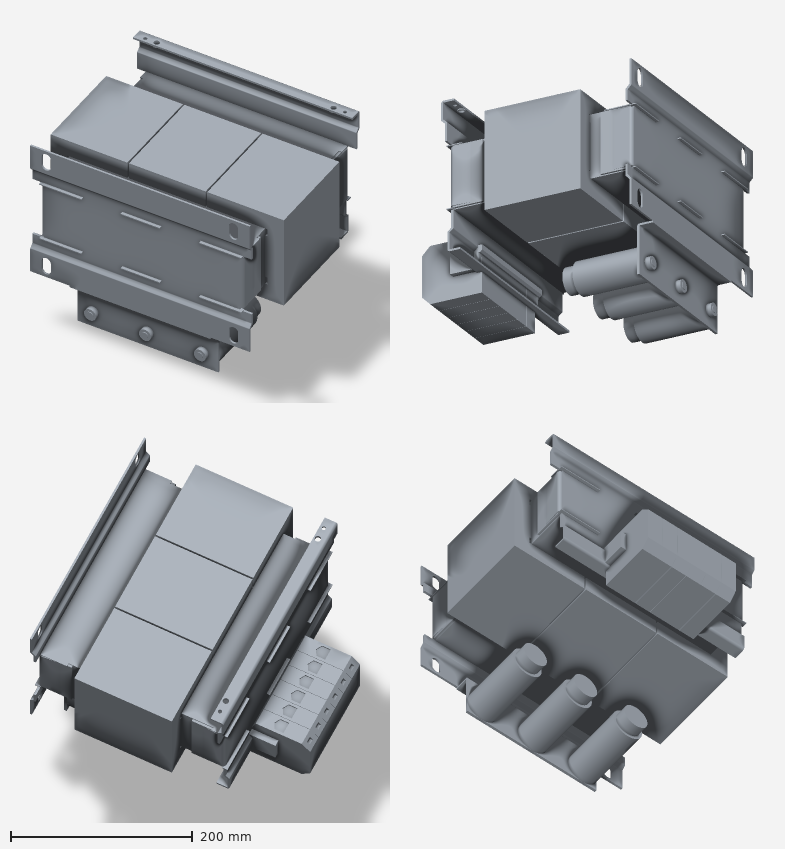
import cadquery as cq


coil_count = 3
coil_width = 98.0
coil_gap = 1.98
coil_pitch = coil_width + coil_gap
coil_side = 120.0
leg_width = 50.0
segment_count = 5
notch_width = 3.0
notch_height = 9.8
core_half_x = segment_count * leg_width / 2
core_half_y = 111.7
core_half_z = 37.5

sheet_thickness = 1.2
sheet_top = core_half_z + sheet_thickness
tab_half_y = 118.5
ear_overhang = 4.0
front_ear_start_y = 79.0
rear_ear_start_y = 99.5

end_plate_thickness = 2.7
end_plate_start_y = 74.0

clamp_face_y = 114.5
clamp_half_x = core_half_x + ear_overhang
clamp_half_z = 35.5
clamp_wing_start_y = 88.8
bracket_half_x = 140.0
bracket_inner_z = 38.5
bracket_top = 88.2
bracket_face_y = 119.0
metal = 2.5
front_step_inner_z = 51.3
front_step_outer_z = 56.2
rear_step_inner_z = 60.0
rear_step_outer_z = 64.5
rear_flange_end_y = 103.2
lower_rear_half_x = 125.7
bend_radius = 3.0
step_radius = 1.2

slot_x = 119.5
slot_z = 73.0
slot_length = 22.5
slot_angle = 90
slot_width = 11.5
flange_hole_y = 108.3
small_hole_x = 127.5
small_hole_diameter = 4.5
nut_x = 113.0
nut_bore = 7.0
nut_diameter = 9.8
nut_height = 1.2

cap_pitch = 70.2
cap_z = -128.8
cap_radius = 20.0
cap_end_y = -18.0
cap_terminal_radius = 16.2
cap_terminal_end_y = -3.5
holder_half_x = 90.0
holder_overlap = 0.3
holder_top = holder_overlap - bracket_top
holder_bottom = cap_z - cap_radius
holder_face_y = -102.0
holder_back_y = -99.0
nut_radius = 7.5
nut_face_y = -108.3
stud_radius = 4.3
stud_face_y = -109.3

terminal_count = 6
terminal_pitch = 20.5
terminal_gap = 0.3
terminal_rear_y = 186.2
terminal_front_y = 111.0
terminal_top = -42.7
terminal_bottom = -113.2
terminal_chamfer = 10.5
terminal_slope_y = 119.0
terminal_slope_z = -64.0
rail_half_x = 68.7
rail_rear_y = 147.0
rail_front_y = 106.5
rail_top = -59.0
rail_bottom = -86.5
hook_bottom = -67.5
hook_chamfer = 2.5
window_rear_y = 151.7
window_shoulder_y = 141.0
window_tip_y = 137.0
window_half_x = 7.0
marker_y = 180.7
marker_length = 6.7
marker_width = 3.5
recess_depth = 1.5


def block(x0, x1, y0, y1, z0, z1):
    """Box between two opposite corners."""
    return cq.Workplane("XY").box(x1 - x0, y1 - y0, z1 - z0, centered=False).translate((x0, y0, z0))


def along_x(points, half_x):
    """Prism with a (Y, Z) outline, centred on X = 0."""
    return cq.Workplane("YZ").polyline(points).close().extrude(half_x, both=True)


def rod_y(x, z, radius, y0, y1):
    """Cylinder parallel to Y."""
    return cq.Workplane("XZ", origin=(x, y0, z)).circle(radius).extrude(y0 - y1)


def row(count, pitch):
    """Positions of equally spaced items centred on zero."""
    return [(i - (count - 1) / 2) * pitch for i in range(count)]


def both_ends(shape):
    """A shape together with its mirror image across X = 0."""
    return [shape, shape.mirror("YZ")]


def make_coils():
    """Separate coil blocks; the outer two are notched beside the corners of the core."""
    h = coil_side / 2
    notch_end_x = core_half_x + notch_width
    notch = block(core_half_x, notch_end_x, h - notch_width, h, sheet_top - notch_height, sheet_top)
    notches = notch.union(notch.mirror("XY"))
    notches = notches.union(notches.mirror("XZ"))
    notches = notches.union(notches.mirror("YZ"))
    return [block(x - coil_width / 2, x + coil_width / 2, -h, h, -h, h).cut(notches)
            for x in row(coil_count, coil_pitch)]


def make_core():
    """Core segments with their cover sheets; the sheets over the legs reach out as tabs."""
    parts = []
    for i, x in enumerate(row(segment_count, leg_width)):
        x0 = x - leg_width / 2
        x1 = x + leg_width / 2
        is_leg = i % 2 == 0
        half_y = tab_half_y if is_leg else core_half_y
        parts.append(block(x0, x1, -core_half_y, core_half_y, -core_half_z, core_half_z))
        for z0 in (core_half_z, -sheet_top):
            parts.append(block(x0, x1, -half_y, half_y, z0, z0 + sheet_thickness))
    low_ear = block(core_half_x, clamp_half_x, core_half_y, tab_half_y, -sheet_top, -core_half_z)
    ears = [
        block(core_half_x, clamp_half_x, -tab_half_y, -front_ear_start_y, core_half_z, sheet_top),
        block(core_half_x, clamp_half_x, rear_ear_start_y, tab_half_y, core_half_z, sheet_top),
        low_ear,
        low_ear.mirror("XZ"),
    ]
    for ear in ears:
        parts += both_ends(ear)
    for y0, y1 in ((-core_half_y, -end_plate_start_y), (end_plate_start_y, core_half_y)):
        plate = block(core_half_x, core_half_x + end_plate_thickness, y0, y1, -core_half_z, core_half_z)
        parts += both_ends(plate)
    return parts


def make_clamp():
    """Middle of the rear clamp: a plate with rounded corners and wings tapering onto the end plates."""
    wing_end_x = core_half_x + end_plate_thickness
    r = ear_overhang
    wrap = (
        cq.Workplane("XY", origin=(0, 0, -clamp_half_z))
        .moveTo(-wing_end_x, clamp_wing_start_y)
        .lineTo(wing_end_x, clamp_wing_start_y)
        .lineTo(clamp_half_x, clamp_face_y - r)
        .radiusArc((clamp_half_x - r, clamp_face_y), -r)
        .lineTo(r - clamp_half_x, clamp_face_y)
        .radiusArc((-clamp_half_x, clamp_face_y - r), -r)
        .close()
        .extrude(2 * clamp_half_z)
    )
    face = block(-core_half_x, core_half_x, core_half_y, clamp_face_y, -bracket_inner_z, bracket_inner_z)
    return wrap.union(face)


def round_step(bracket, z0, z1):
    """Round the four bends of the step between two heights."""
    zone = cq.selectors.BoxSelector(
        (-bracket_half_x, -tab_half_y - metal, z0 - metal),
        (bracket_half_x, tab_half_y + metal, z1 + metal),
    )
    return bracket.edges("|X").edges(zone).fillet(step_radius)


def make_front_bracket():
    """Upper front bracket: a stepped strip with a slot near each end."""
    back_y = bracket_face_y - metal
    outline = [
        (-core_half_y, bracket_inner_z),
        (-clamp_face_y, bracket_inner_z),
        (-clamp_face_y, front_step_inner_z),
        (-bracket_face_y, front_step_outer_z),
        (-bracket_face_y, bracket_top),
        (-back_y, bracket_top),
        (-back_y, front_step_outer_z + metal / 2),
        (-core_half_y, front_step_inner_z + metal / 2),
    ]
    slots = (
        cq.Workplane("XZ", origin=(0, -core_half_y, 0))
        .pushPoints([(-slot_x, slot_z), (slot_x, slot_z)])
        .slot2D(slot_length, slot_width, slot_angle)
        .extrude(bracket_face_y)
    )
    strip = round_step(along_x(outline, bracket_half_x), front_step_inner_z, front_step_outer_z)
    return strip.cut(slots)


def make_rear_bracket(half_x):
    """Upper rear bracket: a stepped strip whose top is folded over towards the coils."""
    inner_y = bracket_face_y - metal
    outline = [
        (core_half_y, bracket_inner_z),
        (clamp_face_y, bracket_inner_z),
        (clamp_face_y, rear_step_inner_z),
        (bracket_face_y, rear_step_outer_z),
        (bracket_face_y, bracket_top),
        (rear_flange_end_y, bracket_top),
        (rear_flange_end_y, bracket_top - metal),
        (inner_y, bracket_top - metal),
        (inner_y, rear_step_outer_z + metal / 2),
        (core_half_y, rear_step_inner_z + metal / 2),
    ]
    bracket = round_step(along_x(outline, half_x), rear_step_inner_z, rear_step_outer_z)
    return bracket.edges("|X").edges(">Z").edges(">Y").fillet(bend_radius)


def add_flange_nuts(bracket):
    """Small holes and nuts with a bore in the folded top of a rear bracket."""
    nut_points = [(-nut_x, flange_hole_y), (nut_x, flange_hole_y)]
    hole_points = [(-small_hole_x, flange_hole_y), (small_hole_x, flange_hole_y)]
    nut_bottom = bracket_top - metal - nut_height
    top = cq.Workplane("XY", origin=(0, 0, bracket_top))
    below = cq.Workplane("XY", origin=(0, 0, nut_bottom))
    drill_depth = bracket_top - nut_bottom
    nuts = below.pushPoints(nut_points).circle(nut_diameter / 2).extrude(nut_height)
    bores = top.pushPoints(nut_points).circle(nut_bore / 2).extrude(-drill_depth)
    holes = top.pushPoints(hole_points).circle(small_hole_diameter / 2).extrude(-drill_depth)
    return bracket.union(nuts).cut(bores).cut(holes)


def make_capacitors():
    """Angled holder below the front bracket, with a row of capacitors bolted to it."""
    outline = [
        (-bracket_face_y, holder_top),
        (holder_back_y, holder_top),
        (holder_back_y, holder_bottom),
        (holder_face_y, holder_bottom),
        (holder_face_y, holder_top - metal),
        (-bracket_face_y, holder_top - metal),
    ]
    holder = along_x(outline, holder_half_x)
    inner_bend = cq.selectors.NearestToPointSelector((0, holder_face_y, holder_top - metal))
    holder = holder.edges("|X").edges(">Z").edges(">Y").fillet(bend_radius)
    parts = [holder.edges("|X").edges(inner_bend).fillet(step_radius)]
    for x in row(coil_count, cap_pitch):
        parts.append(rod_y(x, cap_z, cap_radius, holder_back_y, cap_end_y))
        parts.append(rod_y(x, cap_z, cap_terminal_radius, cap_end_y, cap_terminal_end_y))
        parts.append(rod_y(x, cap_z, nut_radius, holder_face_y, nut_face_y))
        parts.append(rod_y(x, cap_z, stud_radius, nut_face_y, stud_face_y))
    return parts


def make_terminal():
    """One terminal with a pointed window on its top and a marker recess on its rear chamfer."""
    c = terminal_chamfer
    outline = [
        (terminal_front_y, terminal_bottom),
        (terminal_rear_y - c, terminal_bottom),
        (terminal_rear_y, terminal_bottom + c),
        (terminal_rear_y, terminal_top - c),
        (terminal_rear_y - c, terminal_top),
        (terminal_slope_y, terminal_top),
        (terminal_front_y, terminal_slope_z),
    ]
    window = (
        cq.Workplane("XY", origin=(0, 0, terminal_top))
        .polyline([
            (-window_half_x, window_rear_y),
            (window_half_x, window_rear_y),
            (window_half_x, window_shoulder_y),
            (0, window_tip_y),
            (-window_half_x, window_shoulder_y),
        ])
        .close()
        .extrude(-recess_depth)
    )
    marker_z = terminal_top - (marker_y - (terminal_rear_y - c))
    marker = (
        cq.Workplane("XY", origin=(0, marker_y, marker_z))
        .rect(marker_length, marker_width)
        .extrude(2 * recess_depth, both=True)
    )
    return along_x(outline, (terminal_pitch - terminal_gap) / 2).cut(window).cut(marker)


def make_terminal_row():
    """Terminals side by side on a rail that hooks over the lower rear bracket."""
    outline = [
        (rail_rear_y, rail_top),
        (rail_front_y, rail_top),
        (rail_front_y, hook_bottom + hook_chamfer),
        (rail_front_y + hook_chamfer, hook_bottom),
        (terminal_front_y, hook_bottom),
        (core_half_y, rail_bottom),
        (rail_rear_y, rail_bottom),
    ]
    terminal = make_terminal()
    parts = [along_x(outline, rail_half_x)]
    parts += [terminal.translate((x, 0, 0)) for x in row(terminal_count, terminal_pitch)]
    return parts


clamp = make_clamp()
front_bracket = make_front_bracket()
front_clamp = clamp.mirror("XZ").union(front_bracket).union(front_bracket.mirror("XY"))

upper_rear_bracket = add_flange_nuts(make_rear_bracket(bracket_half_x))
lower_rear_bracket = make_rear_bracket(lower_rear_half_x).mirror("XY")
rear_clamp = clamp.union(upper_rear_bracket).union(lower_rear_bracket)

parts = make_coils() + make_core() + [front_clamp, rear_clamp] + make_capacitors() + make_terminal_row()

first, *others = [piece.val() for piece in parts]
result = cq.Workplane(first.fuse(*others))